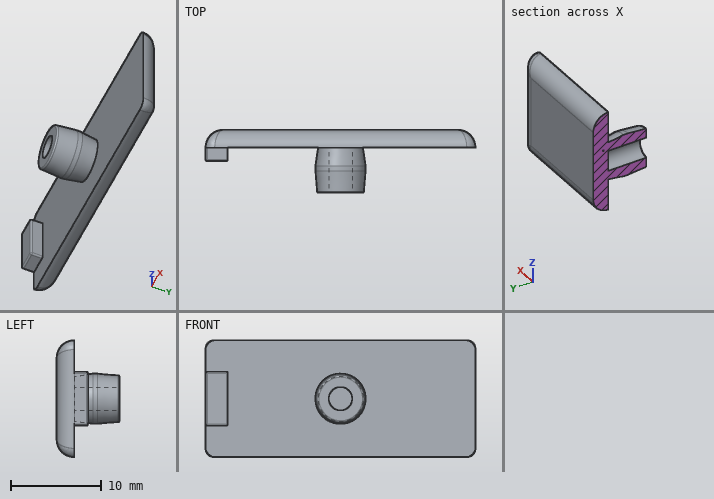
import cadquery as cq

PLATE_LENGTH = 30.0
PLATE_HEIGHT = 13.0
PLATE_THICKNESS = 2.0
RIM_RADIUS = PLATE_THICKNESS
CORNER_RADIUS = 1.0

STUD_LENGTH = 5.0
STUD_MAX_DIAMETER = 5.6
STUD_ROOT_DIAMETER = 5.0
STUD_TIP_DIAMETER = 5.2
BAND_START = 2.0
BAND_END = 2.55

TIP_ROUND = 0.2
BORE_DIAMETER = 2.6
BORE_DEPTH = STUD_LENGTH

BLOCK_LENGTH = 2.5
BLOCK_HEIGHT = 6.0
BLOCK_DEPTH = 1.5
BLOCK_ROUND = 0.2


def make_plate():
    """Plate with a full quarter-round rim, whose mitred corners are then rounded too.

    The rim radius equals the thickness, so a block of twice the thickness is
    rounded and the half behind the flat face is trimmed away.
    """
    double_block = (
        cq.Workplane("XY")
        .box(PLATE_LENGTH, 2 * PLATE_THICKNESS, PLATE_HEIGHT)
        .faces(">Y")
        .edges()
        .fillet(RIM_RADIUS)
        .edges("|Y")
        .fillet(CORNER_RADIUS)
    )
    plate_half = cq.Workplane("XY").box(
        PLATE_LENGTH, PLATE_THICKNESS, PLATE_HEIGHT, centered=(True, False, True)
    )
    return double_block.intersect(plate_half)


def make_stud():
    """Solid of revolution: widening cone, short cylindrical band, narrowing cone, rounded tip."""
    root_radius = STUD_ROOT_DIAMETER / 2
    max_radius = STUD_MAX_DIAMETER / 2
    tip_radius = STUD_TIP_DIAMETER / 2
    profile = (
        cq.Workplane("XY")
        .lineTo(root_radius, 0)
        .lineTo(max_radius, -BAND_START)
        .lineTo(max_radius, -BAND_END)
        .lineTo(tip_radius, -STUD_LENGTH)
        .lineTo(0, -STUD_LENGTH)
        .close()
    )
    stud = profile.revolve(360, (0, 0, 0), (0, 1, 0))
    return stud.faces("<Y").edges().fillet(TIP_ROUND)


def make_bore():
    """Cylinder to remove along the stud axis."""
    return cq.Workplane("XZ").circle(BORE_DIAMETER / 2).extrude(BORE_DEPTH)


def make_block():
    """Block flush with the plate end, all edges rounded except those on the plate."""
    block = cq.Workplane("XY").box(
        BLOCK_LENGTH, BLOCK_DEPTH, BLOCK_HEIGHT, centered=(False, False, True)
    )
    block = block.translate((-PLATE_LENGTH / 2, -BLOCK_DEPTH, 0))
    return block.edges("|Y or <Y").fillet(BLOCK_ROUND)


result = make_plate().union(make_stud()).union(make_block()).cut(make_bore())